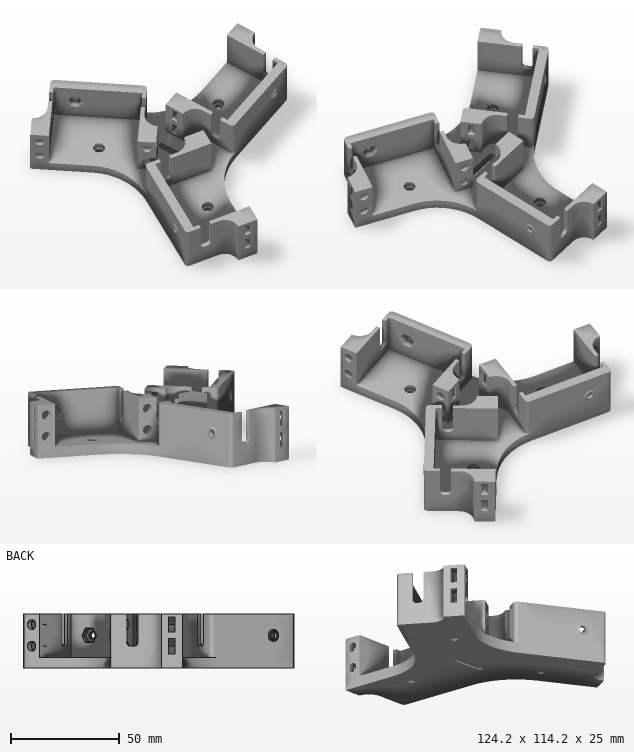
import cadquery as cq
import math


arm_count = 3
height = 25.0
floor_thickness = 5.0

open_side_x = -10.7
back_side_x = 22.3
back_wall = 4.5
end_wall = 1.9
cradle_length = 40.8
cradle_center_y = 36.9
outer_corner_radius = 1.7

post_width = 9.8
post_thickness = 8.6
scoop_radius = post_thickness - end_wall

post_hole_diameter = 4.3
post_hole_heights = (10.0, 20.0)
nut_slot_width = 3.0
nut_slot_height = 7.0

cable_slot_width = 5.1
cable_slot_x = 12.4
cable_slot_bottom = 10.0
cable_slot_corner_radius = 1.9

screw_hole_diameter = 3.4
wall_screw_y = 47.5
wall_screw_z = 15.0
recess_flats = 5.7
recess_lip_flats = 6.7
recess_lip_depth = 0.5
recess_depth = 2.5
collar_diameter = 5.5
collar_tip_diameter = 4.3
collar_height = 0.4

floor_hole_y = 35.0
counterbore_diameter = 5.5
counterbore_depth = 2.7
center_slot_length = 18.0
center_slot_width = 3.0
arm_blend_radius = 30.0

arm_step = 360 / arm_count
wall_length = cradle_length + 2 * end_wall
post_span = cradle_length + 2 * post_thickness
cradle_outer_y = cradle_center_y + cradle_length / 2
back_inner_x = back_side_x - back_wall


def turned(x, y, arm):
    """Point of the +Y arm moved to the given arm."""
    angle = math.radians(arm_step * arm)
    return (x * math.cos(angle) - y * math.sin(angle), x * math.sin(angle) + y * math.cos(angle))


def block(x_min, x_max, length, z_min, z_max):
    """Box between two X and two Z places, centred along the cradle."""
    return (
        cq.Workplane("XY")
        .box(x_max - x_min, length, z_max - z_min, centered=(False, True, False))
        .translate((x_min, cradle_center_y, z_min))
    )


def make_floor():
    turn = math.radians(arm_step)
    meeting_y = (back_side_x - open_side_x * math.cos(turn)) / math.sin(turn)
    meeting_on_back = -open_side_x * math.sin(turn) + meeting_y * math.cos(turn)
    tangent_length = arm_blend_radius * math.tan((math.pi - turn) / 2)
    open_tangent_y = meeting_y + tangent_length
    back_tangent_y = meeting_on_back + tangent_length

    outline = cq.Workplane("XY").moveTo(back_side_x, back_tangent_y)
    for arm in range(arm_count):
        outline = (
            outline.lineTo(*turned(back_side_x, cradle_outer_y, arm))
            .lineTo(*turned(open_side_x, cradle_outer_y, arm))
            .lineTo(*turned(open_side_x, open_tangent_y, arm))
            .tangentArcPoint(turned(back_side_x, back_tangent_y, arm + 1), relative=False)
        )
    return outline.close().extrude(floor_thickness)


def make_walls():
    shell = block(open_side_x, back_side_x, wall_length, 0, height)
    shell = shell.edges("|Z and >X").fillet(outer_corner_radius)

    scoop_x = open_side_x + post_width + scoop_radius
    scoop_places = [(scoop_x, cradle_center_y + side * post_span / 2) for side in (-1, 1)]
    scoops = cq.Workplane("XY").pushPoints(scoop_places).circle(scoop_radius).extrude(height)
    posts = block(open_side_x, scoop_x, post_span, 0, height).cut(scoops)

    cradle = block(open_side_x, back_inner_x, cradle_length, 0, height)
    return shell.union(posts).cut(cradle)


def cable_slots():
    x_min = cable_slot_x - cable_slot_width / 2
    slots = block(x_min, x_min + cable_slot_width, wall_length, cable_slot_bottom, height)
    return slots.edges("|Y and <Z").fillet(cable_slot_corner_radius)


def post_fastener(side, z):
    """Screw hole from the open side, ending at a hexagonal nut pocket open to the post's end face."""
    end_y = cradle_center_y + side * post_span / 2
    axis_y = end_y - side * post_thickness / 2
    slot_start = (post_width - nut_slot_width) / 2
    across_corners = nut_slot_height / math.cos(math.pi / 6)

    entry = cq.Workplane("YZ", origin=(open_side_x, axis_y, z))
    hole = entry.circle(post_hole_diameter / 2).extrude(slot_start)
    pocket = entry.workplane(offset=slot_start).polygon(6, across_corners).extrude(nut_slot_width)
    slot = cq.Workplane("XY").box(nut_slot_width, post_thickness / 2, nut_slot_height)
    slot = slot.translate((open_side_x + post_width / 2, (axis_y + end_y) / 2, z))
    return hole.union(pocket).union(slot)


def wall_collar():
    return (
        cq.Workplane("YZ", origin=(back_side_x, wall_screw_y, wall_screw_z))
        .circle(collar_diameter / 2)
        .workplane(offset=collar_height)
        .circle(collar_tip_diameter / 2)
        .loft(ruled=True)
    )


def wall_screw():
    inner_face = cq.Workplane("YZ", origin=(back_inner_x, wall_screw_y, wall_screw_z))
    corner_ratio = 1 / math.cos(math.pi / 6)
    lip = (
        inner_face.polygon(6, recess_lip_flats * corner_ratio)
        .workplane(offset=recess_lip_depth)
        .polygon(6, recess_flats * corner_ratio)
        .loft(ruled=True)
    )
    recess = inner_face.polygon(6, recess_flats * corner_ratio).extrude(recess_depth)
    hole = inner_face.circle(screw_hole_diameter / 2).extrude(back_wall + collar_height)
    return lip.union(recess).union(hole)


def floor_screw():
    bottom = cq.Workplane("XY", origin=(0, floor_hole_y, 0))
    hole = bottom.circle(screw_hole_diameter / 2).extrude(floor_thickness)
    counterbore = (
        bottom.workplane(offset=floor_thickness - counterbore_depth)
        .circle(counterbore_diameter / 2)
        .extrude(counterbore_depth)
    )
    return hole.union(counterbore)


arm_walls = make_walls().union(wall_collar())
arm_cuts = cable_slots().union(wall_screw()).union(floor_screw())
for end_side in (-1, 1):
    for hole_z in post_hole_heights:
        arm_cuts = arm_cuts.union(post_fastener(end_side, hole_z))

result = make_floor()
for arm_index in range(arm_count):
    result = result.union(arm_walls.rotate((0, 0, 0), (0, 0, 1), arm_step * arm_index))
for arm_index in range(arm_count):
    result = result.cut(arm_cuts.rotate((0, 0, 0), (0, 0, 1), arm_step * arm_index))

center_slot = cq.Workplane("XY").slot2D(center_slot_length, center_slot_width).extrude(floor_thickness)
result = result.cut(center_slot)